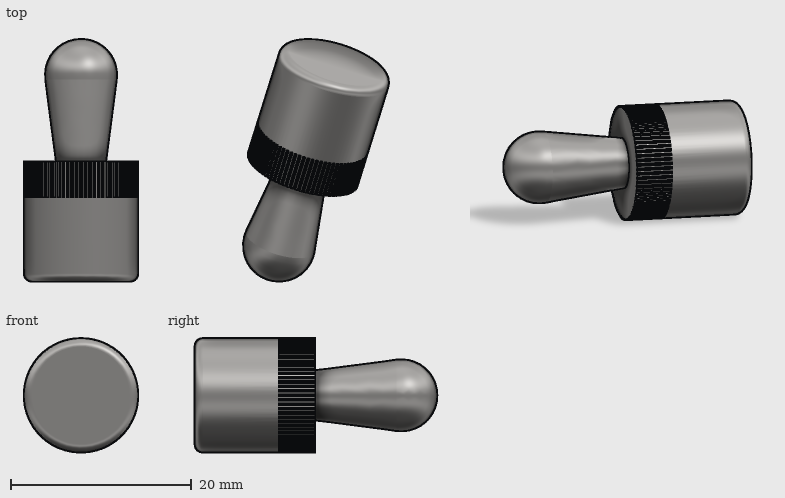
import cadquery as cq
import math

total_length = 26.9
body_diameter = 12.7
body_length = 13.35
edge_radius = 0.95
knurl_length = 4.0
groove_count = 80
groove_width = 0.255
groove_depth = 0.13
ball_radius = 4.0
handle_root_radius = 2.8

body_radius = body_diameter / 2
front_y = -total_length / 2
body_top_y = front_y + body_length
handle_top_y = front_y + total_length
ball_center_y = handle_top_y - ball_radius


def turn_about_y(half_profile):
    """Revolve a closed half profile, drawn in XY, into a solid about the Y axis."""
    return half_profile.revolve(360, (0, 0, 0), (0, 1, 0))


def make_knurl_groove(angle):
    """V groove cutter along the knurled band, at an angle about the Y axis."""
    section = cq.Workplane("XZ", origin=(0, body_top_y, 0)).polyline(
        [
            (0, body_radius - groove_depth),
            (groove_width, body_radius + groove_depth),
            (-groove_width, body_radius + groove_depth),
        ]
    )
    groove = section.close().extrude(knurl_length)
    return groove.rotate((0, 0, 0), (0, 1, 0), angle).val()


def make_body():
    """Round body with a rounded closed end and a knurled band at the handle end."""
    cylinder = turn_about_y(
        cq.Workplane("XY")
        .moveTo(0, front_y)
        .lineTo(body_radius, front_y)
        .lineTo(body_radius, body_top_y)
        .lineTo(0, body_top_y)
        .close()
    )
    rounded = cylinder.faces("<Y").edges().fillet(edge_radius)
    grooves = [make_knurl_groove(i * 360 / groove_count) for i in range(groove_count)]
    return cq.Workplane(rounded.val().cut(*grooves).Solids()[0])


def make_handle():
    """Tapered handle standing on the body, its cone running tangent into a ball end."""
    height = ball_center_y - body_top_y
    root_distance = math.hypot(height, handle_root_radius)
    taper = math.asin(ball_radius / root_distance) - math.atan2(handle_root_radius, height)
    tangent_x = ball_radius * math.cos(taper)
    tangent_y = ball_center_y - ball_radius * math.sin(taper)
    diagonal = ball_radius * math.sqrt(0.5)
    return turn_about_y(
        cq.Workplane("XY")
        .moveTo(0, body_top_y)
        .lineTo(handle_root_radius, body_top_y)
        .lineTo(tangent_x, tangent_y)
        .threePointArc((diagonal, ball_center_y + diagonal), (0, handle_top_y))
        .close()
    )


body = make_body()
handle = make_handle()

result = cq.Compound.makeCompound([body.val(), handle.val()])